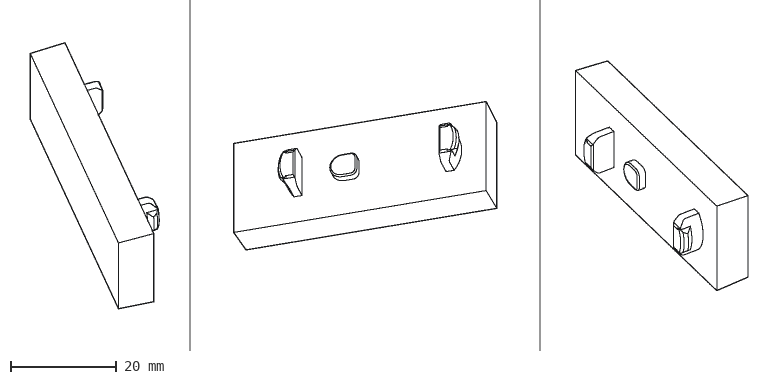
import cadquery as cq
import math

PLATE_LENGTH = 49.9
PLATE_HEIGHT = 20.15
PLATE_DEPTH = 7.0
DRAFT_INSET = 0.35

TOTAL_DEPTH = 11.9
POST_HEIGHT = TOTAL_DEPTH - PLATE_DEPTH
POST_MID_X = 22.15
POST_INNER = 14.2
POST_EDGE = 15.8
POST_OUTER = 17.3
POST_HALF_WIDTH = 4.3
POST_CORNER_CUT = 1.45
POST_CORNER_BLEND = 1.0
TOP_CHAMFER = 0.3

BARB_BOTTOM_HEIGHT = 2.5
BARB_RIDGE_HEIGHT = 3.6
BARB_KNEE_HEIGHT = 4.4
BARB_RIDGE_REACH = 0.55
BARB_KNEE_REACH = 0.25
BARB_TOP_SETBACK = 0.2
BARB_ROOT_DEPTH = 0.75
BARB_ROOT_HALF_WIDTH = 2.8
BARB_RIDGE_HALF_WIDTH = 2.0

BOSS_LEFT = 25.15
BOSS_RADIUS = 2.5
BOSS_ARC_X = 28.0
BOSS_CORNER = 1.2
BOSS_HEIGHT = 1.7


BOW_SAGITTA = POST_OUTER - POST_EDGE
BOW_RADIUS = (POST_HALF_WIDTH**2 + BOW_SAGITTA**2) / (2 * BOW_SAGITTA)
BOW_CENTER_X = POST_OUTER - BOW_RADIUS


def bow_x(radius, z):
    """X of a circle concentric with the bowed face at height z."""
    return BOW_CENTER_X + math.sqrt(radius**2 - z**2)


def make_plate():
    """Block with draft on the top, bottom and right sides; the left side is square."""
    half = PLATE_HEIGHT / 2
    height_profile = [
        (0, half - DRAFT_INSET),
        (PLATE_DEPTH, half),
        (PLATE_DEPTH, -half),
        (0, DRAFT_INSET - half),
    ]
    length_profile = [
        (0, 0),
        (PLATE_LENGTH - DRAFT_INSET, 0),
        (PLATE_LENGTH, PLATE_DEPTH),
        (0, PLATE_DEPTH),
    ]
    block = cq.Workplane("YZ").polyline(height_profile).close().extrude(PLATE_LENGTH)
    outline = cq.Workplane("XY").polyline(length_profile).close()
    return block.intersect(outline.extrude(half, both=True))


def back_plane():
    """Sketch plane on the back face: x along X, y along -Z, normal +Y."""
    return cq.Workplane(cq.Plane(origin=(0, PLATE_DEPTH, 0), xDir=(1, 0, 0), normal=(0, 1, 0)))


def make_barb():
    """Ridge swept around the bow axis, with tapered ends."""
    root_radius = BOW_RADIUS - BARB_ROOT_DEPTH
    bottom_y = PLATE_DEPTH + BARB_BOTTOM_HEIGHT
    ring_profile = [
        (root_radius, bottom_y),
        (BOW_RADIUS, bottom_y),
        (BOW_RADIUS + BARB_RIDGE_REACH, PLATE_DEPTH + BARB_RIDGE_HEIGHT),
        (BOW_RADIUS + BARB_KNEE_REACH, PLATE_DEPTH + BARB_KNEE_HEIGHT),
        (BOW_RADIUS - BARB_TOP_SETBACK, TOTAL_DEPTH),
        (root_radius, TOTAL_DEPTH),
    ]
    ring = cq.Workplane("XY").polyline(ring_profile).close().revolve(360, (0, 0), (0, 1))
    ring = ring.translate((BOW_CENTER_X, 0, 0))

    root_x = bow_x(BOW_RADIUS, BARB_ROOT_HALF_WIDTH)
    ridge_x = bow_x(BOW_RADIUS + BARB_RIDGE_REACH, BARB_RIDGE_HALF_WIDTH)
    crown_x = POST_OUTER + BARB_RIDGE_REACH
    ends = (
        back_plane()
        .moveTo(POST_INNER + TOP_CHAMFER, -BARB_ROOT_HALF_WIDTH)
        .lineTo(root_x, -BARB_ROOT_HALF_WIDTH)
        .lineTo(ridge_x, -BARB_RIDGE_HALF_WIDTH)
        .threePointArc((crown_x, 0), (ridge_x, BARB_RIDGE_HALF_WIDTH))
        .lineTo(root_x, BARB_ROOT_HALF_WIDTH)
        .lineTo(POST_INNER + TOP_CHAMFER, BARB_ROOT_HALF_WIDTH)
        .close()
        .extrude(POST_HEIGHT)
    )
    return ring.intersect(ends)


def make_post():
    """Right-hand post, measured in X from the mirror plane."""
    footprint = (
        back_plane()
        .moveTo(POST_INNER, -POST_HALF_WIDTH)
        .lineTo(POST_EDGE, -POST_HALF_WIDTH)
        .threePointArc((POST_OUTER, 0), (POST_EDGE, POST_HALF_WIDTH))
        .lineTo(POST_INNER, POST_HALF_WIDTH)
        .close()
        .extrude(POST_HEIGHT)
    )
    shoulder = TOTAL_DEPTH - POST_CORNER_CUT
    top_half_width = POST_HALF_WIDTH - POST_CORNER_CUT
    side_shape = (
        cq.Workplane("YZ")
        .polyline([
            (PLATE_DEPTH, -POST_HALF_WIDTH),
            (shoulder, -POST_HALF_WIDTH),
            (TOTAL_DEPTH, -top_half_width),
            (TOTAL_DEPTH, top_half_width),
            (shoulder, POST_HALF_WIDTH),
            (PLATE_DEPTH, POST_HALF_WIDTH),
        ])
        .close()
        .extrude(POST_OUTER)
    )
    blend_edges = cq.selectors.BoxSelector(
        (-0.5, shoulder - TOP_CHAMFER, -PLATE_HEIGHT),
        (POST_OUTER, shoulder + TOP_CHAMFER, PLATE_HEIGHT),
    )
    side_shape = side_shape.edges("|X").edges(blend_edges).fillet(POST_CORNER_BLEND)
    post = footprint.intersect(side_shape).faces(">Y").chamfer(TOP_CHAMFER)
    return post.union(make_barb())


def make_boss():
    """Round on the right, flat on the left with rounded corners."""
    boss = (
        back_plane()
        .moveTo(BOSS_LEFT, -BOSS_RADIUS)
        .lineTo(BOSS_ARC_X, -BOSS_RADIUS)
        .threePointArc((BOSS_ARC_X + BOSS_RADIUS, 0), (BOSS_ARC_X, BOSS_RADIUS))
        .lineTo(BOSS_LEFT, BOSS_RADIUS)
        .close()
        .extrude(BOSS_HEIGHT)
    )
    return boss.edges("|Y and <X").fillet(BOSS_CORNER).faces(">Y").chamfer(TOP_CHAMFER)


right_post = make_post()
result = make_plate().union(make_boss())
for post in (right_post, right_post.mirror("YZ")):
    result = result.union(post.translate((POST_MID_X, 0, 0)))